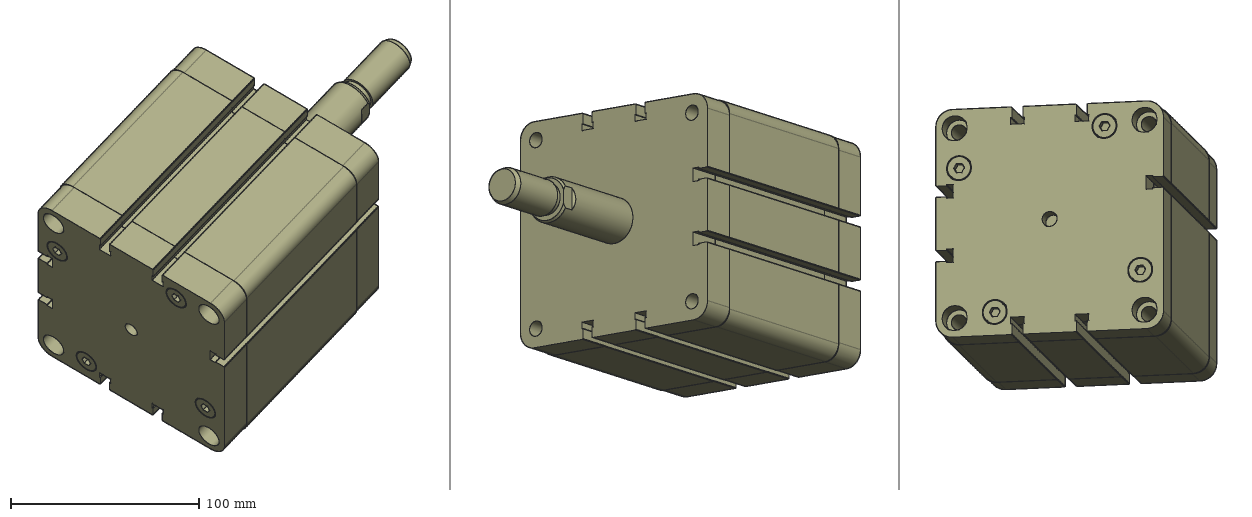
import cadquery as cq
import math

cover_side = 123.7
body_side = 124.0
total_length = 236.5
housing_length = 136.7
cover_length = 19.6
body_corner_radius = 8.5
cover_corner_radius = 9.2

slot_offset = 17.5
slot_mouth_width = 6.0
slot_inner_width = 7.3
slot_mouth_depth = 6.0
slot_depth = 9.5
slot_edge_chamfer = 0.35

mount_offset = 51.5
mount_hole_diameter = 8.3
mount_bore_diameter = 13.5
mount_bore_depth = 11.4

screw_near_offset = 29.8
screw_far_offset = 49.2
screw_bore_diameter = 13.5
screw_head_diameter = 12.5
screw_head_height = 8.0
socket_across_flats = 5.0
socket_depth = 4.0

center_hole_diameter = 8.0
center_hole_depth = 9.5

rod_diameter = 25.0
rod_end_inset = 1.0
rod_end_chamfer = 1.7
across_flats = 22.0
flat_length = 7.3
thread_diameter = 20.0
neck_diameter = 17.5
thread_chamfer_length = 3.0
thread_length = 36.0
threaded_end_length = 40.0


def rounded_block(side, start, length, corner_radius):
    """Square block along Y with rounded long edges."""
    block = cq.Workplane("XY").box(side, length, side)
    return block.edges("|Y").fillet(corner_radius).translate((0, start + length / 2, 0))


def cylinder(x, z, diameter, depth):
    """Cylinder going into the housing from the front face."""
    return cq.Workplane("XZ", origin=(x, 0, z)).circle(diameter / 2).extrude(-depth)


def t_slot(offset):
    """T-slot cutter below Z = 0 with chamfered mouth edges."""
    mouth_x = slot_mouth_width / 2
    inner_x = slot_inner_width / 2
    right_half = [
        (mouth_x + slot_edge_chamfer, 0),
        (mouth_x, -slot_edge_chamfer),
        (mouth_x, -slot_mouth_depth),
        (inner_x, -slot_mouth_depth),
        (inner_x, -slot_depth),
    ]
    left_half = [(-x, z) for x, z in reversed(right_half)]
    profile = cq.Workplane("XZ", origin=(offset, 0, 0)).polyline(right_half + left_half).close()
    return profile.extrude(-housing_length)


def housing_section(side, start, length, corner_radius):
    """One length of the housing: two slots on every side except +X, which has only the upper one."""
    section = rounded_block(side, start, length, corner_radius)
    for angle, offsets in (
        (0, (-slot_offset, slot_offset)),
        (90, (-slot_offset,)),
        (180, (-slot_offset, slot_offset)),
        (270, (-slot_offset, slot_offset)),
    ):
        for offset in offsets:
            cutter = t_slot(offset).translate((0, 0, side / 2))
            section = section.cut(cutter.rotate((0, 0, 0), (0, 1, 0), angle))
    return section


def cover_screw(x, z):
    """Flush screw head with a hexagon socket."""
    socket_across_corners = socket_across_flats / math.cos(math.pi / 6)
    head = cylinder(x, z, screw_head_diameter, screw_head_height)
    socket = (
        cq.Workplane("XZ", origin=(x, 0, z))
        .polygon(6, socket_across_corners)
        .extrude(-socket_depth)
    )
    return head.cut(socket)


def piston_rod():
    """Turned rod from the back face of the housing to the thread tip."""
    rod_radius = rod_diameter / 2
    thread_radius = thread_diameter / 2
    neck_radius = neck_diameter / 2
    shoulder = total_length - threaded_end_length
    thread_start = total_length - thread_length
    rod = (
        cq.Workplane("XY")
        .moveTo(0, housing_length - cover_length)
        .lineTo(rod_radius, housing_length - cover_length)
        .lineTo(rod_radius, shoulder - rod_end_chamfer)
        .lineTo(rod_radius - rod_end_inset, shoulder)
        .lineTo(neck_radius, shoulder)
        .lineTo(neck_radius, thread_start)
        .lineTo(thread_radius, thread_start)
        .lineTo(thread_radius, total_length - thread_chamfer_length)
        .lineTo(neck_radius, total_length)
        .lineTo(0, total_length)
        .close()
        .revolve(360, (0, 0, 0), (0, 1, 0))
    )
    flat_x = across_flats / 2
    flat_end = shoulder - flat_length
    flat_cut_height = rod_radius - flat_x
    flat = (
        cq.Workplane("XY", origin=(0, 0, -rod_radius))
        .polyline(
            [
                (flat_x, shoulder),
                (flat_x, flat_end),
                (rod_radius, flat_end - flat_cut_height),
                (rod_radius, shoulder),
            ]
        )
        .close()
        .extrude(rod_diameter)
    )
    return rod.cut(flat).cut(flat.mirror("YZ"))


body_length = housing_length - 2 * cover_length
result = housing_section(body_side, cover_length, body_length, body_corner_radius)
for cover_start in (0, housing_length - cover_length):
    result = result.union(housing_section(cover_side, cover_start, cover_length, cover_corner_radius))

for x in (-mount_offset, mount_offset):
    for z in (-mount_offset, mount_offset):
        result = result.cut(cylinder(x, z, mount_hole_diameter, housing_length))
        result = result.cut(cylinder(x, z, mount_bore_diameter, mount_bore_depth))

for x, z in (
    (screw_near_offset, screw_far_offset),
    (screw_far_offset, -screw_near_offset),
    (-screw_near_offset, -screw_far_offset),
    (-screw_far_offset, screw_near_offset),
):
    result = result.cut(cylinder(x, z, screw_bore_diameter, screw_head_height))
    result = result.union(cover_screw(x, z))

result = result.cut(cylinder(0, 0, center_hole_diameter, center_hole_depth))
result = result.union(piston_rod())